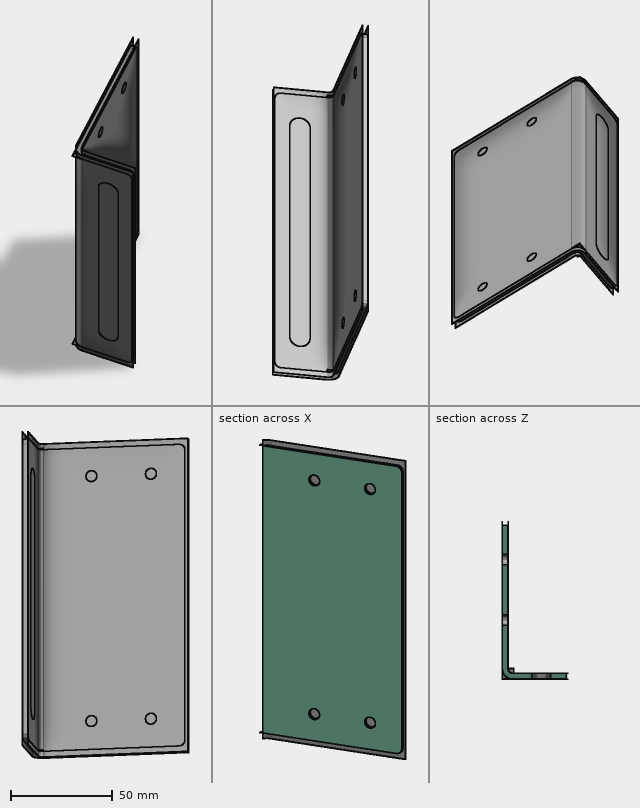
import cadquery as cq

width = 32.51
depth = 77.85
height = 158.5

thickness = 3.0
skin = 0.1
bend_radius = 5.2

end_setback = 2.9
short_leg_setback = 0.6
long_leg_setback = 1.4
core_corner_radius = 3.0
core_height = height - 2 * end_setback

plate_x = 5.8
plate_y = 5.4

slot_x = 19.3
slot_width = 10.4
slot_length = 127.0

hole_diameter = 5.5
first_hole_y = 29.3
hole_spacing_y = 30.0
hole_spacing_z = 124.0


def angle_bar(inset, x_end, y_end, bar_height):
    """L-shaped bar whose outside is inset from the outer faces of the part."""
    inner = thickness - inset
    bar = (
        cq.Workplane("XY")
        .workplane(offset=-bar_height / 2)
        .moveTo(inset, inset)
        .lineTo(x_end, inset)
        .lineTo(x_end, inner)
        .lineTo(inner, inner)
        .lineTo(inner, y_end)
        .lineTo(inset, y_end)
        .close()
        .extrude(bar_height)
    )
    corner = cq.selectors.NearestToPointSelector((inset, inset, 0))
    inner_corner = cq.selectors.NearestToPointSelector((inner, inner, 0))
    bar = bar.edges(corner).fillet(bend_radius - inset)
    return bar.edges(inner_corner).fillet(bend_radius - inner)


def make_core():
    """Core of the laminate with rounded free corners, a slot and four holes."""
    x_end = width - short_leg_setback
    y_end = depth - long_leg_setback
    core = angle_bar(skin, x_end, y_end, core_height)
    core = core.faces(">X").edges("|Y").fillet(core_corner_radius)
    core = core.faces(">Y").edges("|X").fillet(core_corner_radius)

    slot = (
        cq.Workplane("XZ")
        .center(slot_x, 0)
        .slot2D(slot_length, slot_width, 90)
        .extrude(-thickness)
    )
    holes = (
        cq.Workplane("YZ")
        .center(first_hole_y + hole_spacing_y / 2, 0)
        .rarray(hole_spacing_y, hole_spacing_z, 2, 2)
        .circle(hole_diameter / 2)
        .extrude(thickness)
    )
    return core.cut(slot).cut(holes)


def make_skins():
    """Inner and outer skins, the full size of the part, open along their edges."""
    gap = angle_bar(skin, width, depth, height)
    return angle_bar(0, width, depth, height).cut(gap)


def make_bend_plates():
    """Rectangular plates, as thin as the skins, flush with the two ends of the core."""
    top_plate = cq.Workplane("XY").box(plate_x, plate_y, skin, centered=False)
    top_plate = top_plate.translate((0, 0, core_height / 2 - skin))
    return top_plate.union(top_plate.mirror("XY"))


result = make_skins().union(make_core()).union(make_bend_plates())